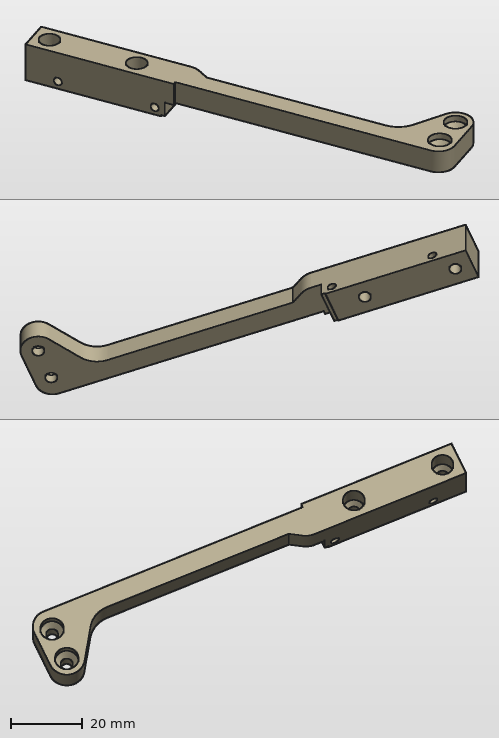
import cadquery as cq
import math

block_width = 10.0
block_height = 12.0
block_length = 45.9
block_foot_length = 43.2
foot_relief_length = 1.2
foot_relief_height = 0.4

total_length = 130.0
total_width = 22.0
arm_start = 33.5
arm_thickness = 7.0
arm_inset = 1.0
arm_width = 6.0

shoulder_end = 52.8
shoulder_angle = 32.0
shoulder_radius = 6.0

end_diameter = 10.0
flare_angle = 57.0
flare_fillet = 8.0

holes_per_row = 2
screw_diameter = 3.4
block_head_diameter = 6.1
block_head_depth = 6.0
block_screw_spacing = 27.0
end_head_diameter = 6.6
end_head_depth = 2.0
end_screw_spacing = 10.0

cross_diameter = 2.5
first_cross_x = 10.0
cross_spacing = 30.0
cross_z = 2.5

arm_bottom = block_height - arm_thickness
arm_back = arm_inset + arm_width
end_radius = end_diameter / 2
end_x = total_length - end_radius
end_y = total_width - end_radius
block_mid_y = block_width / 2
first_block_screw_x = block_width / 2


def arc_point(center, radius, degrees):
    """Point on a circle, with the angle measured counterclockwise from +X."""
    angle = math.radians(degrees)
    return (center[0] + radius * math.cos(angle), center[1] + radius * math.sin(angle))


def make_block():
    relief_start = block_foot_length - foot_relief_length
    outline = [
        (0, 0),
        (relief_start, 0),
        (relief_start, foot_relief_height),
        (block_foot_length, foot_relief_height),
        (block_foot_length, arm_bottom),
        (block_length, arm_bottom),
        (block_length, block_height),
        (0, block_height),
    ]
    return cq.Workplane("XZ").polyline(outline).close().extrude(-block_width)


def make_arm():
    lower_center = (end_x, arm_inset + end_radius)
    upper_center = (end_x, end_y)
    flare_normal = 90 + flare_angle
    flare_top = arc_point(upper_center, end_radius, flare_normal)

    flare = math.radians(flare_angle)
    flare_foot_x = flare_top[0] - (flare_top[1] - arm_back) / math.tan(flare)
    fillet_start_x = flare_foot_x - flare_fillet * math.tan(flare / 2)
    fillet_center = (fillet_start_x, arm_back + flare_fillet)

    shoulder = math.radians(shoulder_angle)
    slope_top_y = block_width - shoulder_radius * (1 - math.cos(shoulder))
    slope_top_x = shoulder_end - (slope_top_y - arm_back) / math.tan(shoulder)
    shoulder_start = slope_top_x - shoulder_radius * math.sin(shoulder)
    shoulder_center = (shoulder_start, block_width - shoulder_radius)

    return (
        cq.Workplane("XY", origin=(0, 0, arm_bottom))
        .moveTo(arm_start, arm_inset)
        .lineTo(end_x, arm_inset)
        .threePointArc(
            arc_point(lower_center, end_radius, -45),
            arc_point(lower_center, end_radius, 0),
        )
        .lineTo(total_length, end_y)
        .threePointArc(arc_point(upper_center, end_radius, flare_normal / 2), flare_top)
        .lineTo(*arc_point(fillet_center, flare_fillet, flare_angle - 90))
        .threePointArc(
            arc_point(fillet_center, flare_fillet, flare_angle / 2 - 90),
            (fillet_start_x, arm_back),
        )
        .lineTo(shoulder_end, arm_back)
        .lineTo(slope_top_x, slope_top_y)
        .threePointArc(
            arc_point(shoulder_center, shoulder_radius, 90 - shoulder_angle / 2),
            (shoulder_start, block_width),
        )
        .lineTo(arm_start, block_width)
        .close()
        .extrude(arm_thickness)
    )


def screw_cutter(x, y, head_diameter, head_depth):
    """Revolved cutter for one vertical screw hole."""
    head_radius = head_diameter / 2
    screw_radius = screw_diameter / 2
    pocket_z = block_height - head_depth
    seat_depth = head_radius - screw_radius
    profile = [
        (0, 0),
        (screw_radius, 0),
        (screw_radius, pocket_z - seat_depth),
        (head_radius, pocket_z),
        (head_radius, block_height),
        (0, block_height),
    ]
    cutter = cq.Workplane("XZ").polyline(profile).close().revolve(360, (0, 0), (0, 1))
    return cutter.translate((x, y, 0))


def cross_cutter(x):
    """Cylinder for one hole across the block."""
    return cq.Workplane("XZ").center(x, cross_z).circle(cross_diameter / 2).extrude(-block_width)


result = make_block().union(make_arm())

for index in range(holes_per_row):
    block_screw_x = first_block_screw_x + index * block_screw_spacing
    end_screw_y = end_y - index * end_screw_spacing
    cross_x = first_cross_x + index * cross_spacing
    result = result.cut(screw_cutter(block_screw_x, block_mid_y, block_head_diameter, block_head_depth))
    result = result.cut(screw_cutter(end_x, end_screw_y, end_head_diameter, end_head_depth))
    result = result.cut(cross_cutter(cross_x))